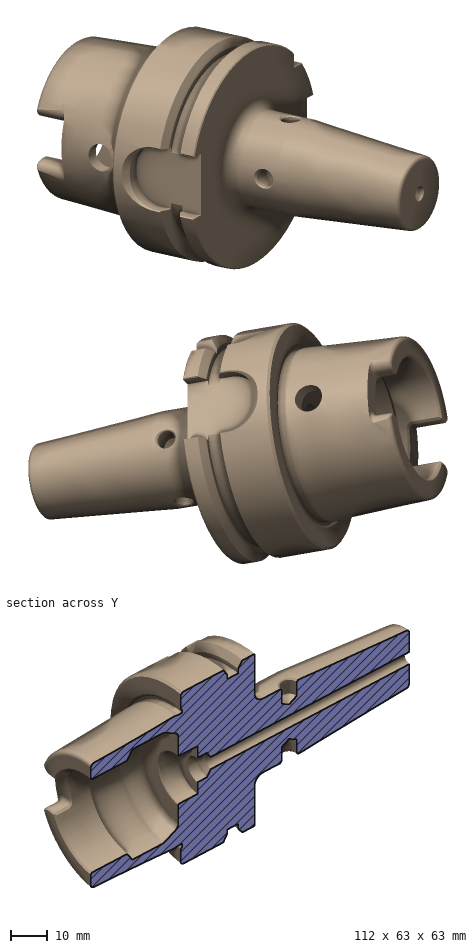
import cadquery as cq
import math


total_length = 112.0
taper_end_x = 29.7
flange_front_x = 31.7
flange_back_x = 57.8
neck_end_x = 73.9

taper_big_radius = 24.2
taper_slope = 0.05
taper_rounding = 1.2
relief_x = 30.7
relief_radius = 24.0
recess_depth = 0.5
recess_floor_radius = 24.9
recess_rim_radius = 25.5

flange_radius = 31.5
flange_front_chamfer = 0.7
flange_back_chamfer = 0.3
groove_floor_radius = 27.5
groove_edge_radius = 29.1
groove_rim_front_x = 46.7
groove_front_x = 48.0
groove_back_x = 51.7
groove_rim_back_x = 53.3

neck_radius = 13.5
neck_fillet = 3.0
nose_radius = 10.5
nose_rounding = 1.0

mouth_radius = 16.9
mouth_depth = 12.9
clamping_angle = math.radians(60)
chamber_radius = 20.0
chamber_depth = 25.6
floor_cone_angle = math.radians(30)
floor_fillet = 2.2
floor_radius = 15.8
inner_edge_chamfer = 0.6
thread_radius = 9.0
thread_chamfer = 0.3
thread_depth = 6.7
coolant_radius = 4.4
coolant_depth = 3.4
through_radius = 2.1
drill_half_angle = math.radians(59)

access_hole_x = 23.1
access_hole_radius = 3.9
screw_hole_x = 69.8
screw_hole_radius = 2.6
screw_hole_chamfer = 0.6
screw_hole_depth = 5.6
screw_hole_count = 4

keyway_half_width = 6.3
keyway_rounding_start = 18.1
keyway_rounding = 2.8
keyway_floor_fillet = 1.3
front_keyway_depth = 10.0
back_keyway_depth = 5.9
keyway_mouth_chamfer = 0.5
keyway_inner_y = 9.0
keyway_outer_y = 29.1

slot_floor_y = 26.5
slot_half_width = 9.0
slot_corner_radius = 8.1
slot_start_x = 36.7
slot_chamfer_y = 29.8
rim_overshoot = 0.6
notch_y = 20.0
notch_z = 19.8
notch_radius = 7.7
notch_end_x = 44.8

clearance = 5.6
edge_tolerance = 0.06

quarter_arc_inset = 1 - math.sqrt(0.5)


def turned_body():
    """Solid of revolution about X carrying every outer diameter."""
    taper_small_radius = taper_big_radius - taper_slope * taper_end_x
    nose_slope = (neck_radius - nose_radius) / (total_length - neck_end_x)
    nose_rounding_x = total_length - nose_rounding
    taper_inset = taper_rounding * quarter_arc_inset
    neck_inset = neck_fillet * quarter_arc_inset
    nose_inset = nose_rounding * quarter_arc_inset
    outline = (
        cq.Workplane("XY")
        .moveTo(0, 0)
        .lineTo(0, taper_small_radius - taper_rounding)
        .threePointArc(
            (taper_inset, taper_small_radius - taper_inset),
            (taper_rounding, taper_small_radius + taper_slope * taper_rounding),
        )
        .lineTo(taper_end_x, taper_big_radius)
        .lineTo(relief_x, relief_radius)
        .lineTo(flange_front_x + recess_depth, relief_radius)
        .lineTo(flange_front_x + recess_depth, recess_floor_radius)
        .lineTo(flange_front_x, recess_rim_radius)
        .lineTo(flange_front_x, flange_radius - flange_front_chamfer)
        .lineTo(flange_front_x + flange_front_chamfer, flange_radius)
        .lineTo(groove_rim_front_x, flange_radius)
        .lineTo(groove_front_x, groove_edge_radius)
        .lineTo(groove_front_x, groove_floor_radius)
        .lineTo(groove_back_x, groove_floor_radius)
        .lineTo(groove_back_x, groove_edge_radius)
        .lineTo(groove_rim_back_x, flange_radius)
        .lineTo(flange_back_x - flange_back_chamfer, flange_radius)
        .lineTo(flange_back_x, flange_radius - flange_back_chamfer)
        .lineTo(flange_back_x, neck_radius + neck_fillet)
        .threePointArc(
            (flange_back_x + neck_inset, neck_radius + neck_inset),
            (flange_back_x + neck_fillet, neck_radius),
        )
        .lineTo(neck_end_x, neck_radius)
        .lineTo(nose_rounding_x, nose_radius + nose_slope * nose_rounding)
        .threePointArc(
            (total_length - nose_inset, nose_radius - nose_inset),
            (total_length, nose_radius - nose_rounding),
        )
        .lineTo(total_length, 0)
        .close()
    )
    return outline.revolve(360, (0, 0, 0), (1, 0, 0))


def cavity():
    """Stepped bore from the open end, narrowing to the coolant passage."""
    clamping_end_x = mouth_depth + (chamber_radius - mouth_radius) / math.tan(clamping_angle)
    fillet_start_angle = math.pi / 2 - floor_cone_angle
    fillet_start_radius = floor_radius + floor_fillet * math.sin(fillet_start_angle)
    fillet_start_x = chamber_depth + (chamber_radius - fillet_start_radius) / math.tan(floor_cone_angle)
    fillet_center_x = fillet_start_x - floor_fillet * math.cos(fillet_start_angle)
    floor_depth = fillet_center_x + floor_fillet
    fillet_middle = (
        fillet_center_x + floor_fillet * math.cos(fillet_start_angle / 2),
        floor_radius + floor_fillet * math.sin(fillet_start_angle / 2),
    )
    thread_end_x = floor_depth + thread_depth
    coolant_end_x = thread_end_x + coolant_depth
    cone_length = (coolant_radius - through_radius) / math.tan(drill_half_angle)
    outline = (
        cq.Workplane("XY")
        .moveTo(0, 0)
        .lineTo(0, mouth_radius)
        .lineTo(mouth_depth, mouth_radius)
        .lineTo(clamping_end_x, chamber_radius)
        .lineTo(chamber_depth, chamber_radius)
        .lineTo(fillet_start_x, fillet_start_radius)
        .threePointArc(fillet_middle, (floor_depth, floor_radius))
        .lineTo(floor_depth, thread_radius)
        .lineTo(floor_depth + thread_chamfer, thread_radius - thread_chamfer)
        .lineTo(thread_end_x, thread_radius - thread_chamfer)
        .lineTo(thread_end_x, coolant_radius)
        .lineTo(coolant_end_x, coolant_radius)
        .lineTo(coolant_end_x + cone_length, through_radius)
        .lineTo(total_length, through_radius)
        .lineTo(total_length, 0)
        .close()
    )
    return outline.revolve(360, (0, 0, 0), (1, 0, 0))


def keyway_half_outline(x, grown):
    """Upper half of the keyway section at station x, with its wall moved outward by `grown`."""
    wall_z = keyway_half_width + grown
    rounding = keyway_rounding - grown
    center_z = keyway_half_width + keyway_rounding
    lean = math.atan2(center_z, keyway_rounding_start)
    middle = (lean - math.pi / 2) / 2
    arc_middle = (
        keyway_rounding_start + rounding * math.cos(middle),
        center_z + rounding * math.sin(middle),
    )
    arc_end = (
        keyway_rounding_start + rounding * math.cos(lean),
        center_z + rounding * math.sin(lean),
    )
    flare_z = arc_end[1] + clearance
    flare_y = arc_end[0] - clearance * math.tan(lean)
    return (
        cq.Workplane("YZ", origin=(x, 0, 0))
        .moveTo(keyway_inner_y, 0)
        .lineTo(keyway_inner_y, wall_z)
        .lineTo(keyway_rounding_start, wall_z)
        .threePointArc(arc_middle, arc_end)
        .lineTo(flare_y, flare_z)
        .lineTo(keyway_outer_y, flare_z)
        .lineTo(keyway_outer_y, 0)
        .close()
    )


def keyway(depth):
    """Cutter on the +Y side: flat walls that round over into the shank surface."""
    half = keyway_half_outline(0, 0).extrude(depth)
    whole = half.union(half.mirror("XY")).clean()
    return whole.faces(">X").edges().fillet(keyway_floor_fillet)


def keyway_mouth():
    """Cutter on the +Y side that chamfers the keyway where it meets the end face."""
    wide = keyway_half_outline(0, keyway_mouth_chamfer).wires().val()
    narrow = keyway_half_outline(keyway_mouth_chamfer, 0).wires().val()
    half = cq.Workplane(cq.Solid.makeLoft([wide, narrow], True))
    return half.union(half.mirror("XY"))


def lies_on_mouth(edge):
    """True for an edge of the keyways or the end face that runs along the bore mouth."""
    points = [edge.positionAt(share) for share in (0, 0.5, 1)]
    near_end = all(point.x < mouth_depth - edge_tolerance for point in points)
    on_bore = all(math.hypot(point.y, point.z) < mouth_radius + edge_tolerance for point in points)
    return near_end and on_bore


def drive_slot_outline(y):
    """Round-cornered slot outline in the plane at height y, open toward +X."""
    end_x = flange_back_x + clearance
    corner_x = slot_start_x + slot_corner_radius
    flat = slot_half_width - slot_corner_radius
    bend = slot_corner_radius * quarter_arc_inset
    return (
        cq.Workplane("XZ", origin=(0, y, 0))
        .moveTo(end_x, -slot_half_width)
        .lineTo(corner_x, -slot_half_width)
        .threePointArc((slot_start_x + bend, bend - slot_half_width), (slot_start_x, -flat))
        .lineTo(slot_start_x, flat)
        .threePointArc((slot_start_x + bend, slot_half_width - bend), (corner_x, slot_half_width))
        .lineTo(end_x, slot_half_width)
        .close()
    )


def drive_slot():
    """Cutter on the +Y side: flat-floored slot whose rim is chamfered from a fixed height."""
    straight = drive_slot_outline(slot_floor_y).extrude(slot_floor_y - slot_chamfer_y)
    rim_height = flange_radius + rim_overshoot - slot_chamfer_y
    rim = drive_slot_outline(slot_chamfer_y).extrude(-rim_height, taper=-45)
    return straight.union(rim)


def index_notch():
    """Cutter for the corner notch between +Y and +Z, ending in a round wall."""
    center_z = notch_z + notch_radius
    top_z = center_z + notch_radius
    end_x = flange_back_x + clearance
    plane = cq.Workplane("XZ", origin=(0, notch_y, 0))
    round_end = plane.center(notch_end_x, center_z).circle(notch_radius).extrude(-flange_radius)
    run = (
        plane.moveTo(notch_end_x, notch_z)
        .lineTo(end_x, notch_z)
        .lineTo(end_x, top_z)
        .lineTo(notch_end_x, top_z)
        .close()
        .extrude(-flange_radius)
    )
    return round_end.union(run)


def access_hole():
    """Hole across the shank along Y, through both walls."""
    return (
        cq.Workplane("XZ", origin=(access_hole_x, 0, 0))
        .circle(access_hole_radius)
        .extrude(flange_radius, both=True)
    )


def screw_hole():
    """Blind drilled hole entering the neck from +Z, with a chamfered mouth."""
    bottom_z = neck_radius - screw_hole_depth
    tip_z = bottom_z - screw_hole_radius / math.tan(drill_half_angle)
    outline = (
        cq.Workplane("XZ", origin=(screw_hole_x, 0, 0))
        .moveTo(0, tip_z)
        .lineTo(screw_hole_radius, bottom_z)
        .lineTo(screw_hole_radius, neck_radius - screw_hole_chamfer)
        .lineTo(screw_hole_radius + 2 * screw_hole_chamfer, neck_radius + screw_hole_chamfer)
        .lineTo(0, neck_radius + screw_hole_chamfer)
        .close()
    )
    return outline.revolve(360, (0, 0, 0), (0, 1, 0))


shank = turned_body().cut(cavity())
shank = shank.cut(keyway(back_keyway_depth))
shank = shank.cut(keyway(front_keyway_depth).mirror("XZ"))

mouth_edges = [edge for edge in shank.edges().vals() if lies_on_mouth(edge)]
shank = shank.newObject(mouth_edges).chamfer(inner_edge_chamfer)
shank = shank.cut(keyway_mouth()).cut(keyway_mouth().mirror("XZ"))

result = shank.cut(drive_slot()).cut(drive_slot().mirror("XZ"))
result = result.cut(index_notch())
result = result.cut(access_hole())
for turn in range(screw_hole_count):
    result = result.cut(screw_hole().rotate((0, 0, 0), (1, 0, 0), turn * 360 / screw_hole_count))